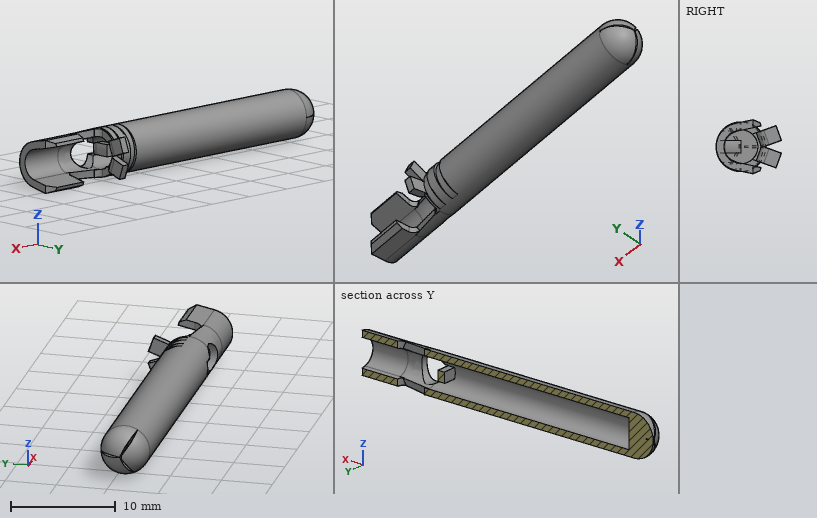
import cadquery as cq
import math

LENGTH = 35.95
RADIUS = 2.37
WALL = 0.75
BORE_RADIUS = RADIUS - WALL
FAR = 4 * RADIUS

SLIT_COUNT = 3
SLIT_WIDTH = 0.2
SLIT_DEPTH = 2.3
BORE_START = SLIT_DEPTH + WALL

GROOVE_WIDTH = 0.75
GROOVE_DEPTH = 0.25
FIRST_GROOVE_X = 25.0
SECOND_GROOVE_X = 26.75

TAB_X = SECOND_GROOVE_X + GROOVE_WIDTH
TAB_WIDTH = 1.5
TAB_TILT = 20.0
TAB_BEND_RADIUS = 2.6
TAB_TIP_RADIUS = 3.85

TUBE_END = 27.7
HOLE_X = 28.35
HOLE_RADIUS = 1.5
TONGUE_X = 25.77
TONGUE_WIDTH = 1.2

BARREL_X = 31.6
BARREL_RADIUS = 2.25
FLARE = math.radians(12.0)
EAR_BEVEL_Y = 1.15
EAR_TIP_Y = 1.95
EAR_TIP_OUTER_Z = 2.3
EAR_TIP_SLANT = 0.1
EAR_CORNER = EAR_TIP_Y - EAR_BEVEL_Y
NECK_FILLET = 0.55
EAR_FILLET = 0.75

BARREL_Y = BARREL_RADIUS - RADIUS
BARREL_INNER = BARREL_RADIUS - WALL
FLARE_Y = BARREL_Y - BARREL_RADIUS * math.sin(FLARE)


def section(x):
    """Workplane across the pin: local axes are Y and Z, extrusion goes along +X."""
    return cq.Workplane("YZ", origin=(x, 0, 0))


def block(x0, x1, y0, y1, z0, z1):
    return cq.Workplane("XY").box(x1 - x0, y1 - y0, z1 - z0, centered=False).translate((x0, y0, z0))


def tab_tilted(shape, side):
    """Turns a shape standing along +Y to the tab direction on the +Z (1) or -Z (-1) side."""
    return shape.rotate((0, 0, 0), (1, 0, 0), side * TAB_TILT)


def tab(side):
    """A quarter-round bend carrying a flat tab, kept on its own side of Z = 0."""
    bend_middle = WALL * math.sqrt(0.5)
    shape = (
        cq.Workplane("XY", origin=(0, 0, -TAB_WIDTH / 2))
        .moveTo(TAB_X, TAB_BEND_RADIUS - WALL)
        .threePointArc(
            (TAB_X + bend_middle, TAB_BEND_RADIUS - bend_middle),
            (TAB_X + WALL, TAB_BEND_RADIUS),
        )
        .lineTo(TAB_X + WALL, TAB_TIP_RADIUS)
        .lineTo(TAB_X, TAB_TIP_RADIUS)
        .close()
        .extrude(TAB_WIDTH)
    )
    bottom, top = (0, FAR) if side > 0 else (-FAR, 0)
    return tab_tilted(shape, side).intersect(block(0, LENGTH, -FAR, FAR, bottom, top))


def tab_notch():
    """Opening in the tube end where the two tabs sit, cleared between them too."""
    notch = block(TAB_X, LENGTH, BORE_RADIUS / 2, FAR, -TAB_WIDTH / 2, TAB_WIDTH / 2)
    return notch.union(tab_tilted(notch, 1)).union(tab_tilted(notch, -1))


def rounded_rod():
    return (
        cq.Workplane("XY")
        .moveTo(0, 0)
        .threePointArc(
            (RADIUS * (1 - math.sqrt(0.5)), RADIUS * math.sqrt(0.5)),
            (RADIUS, RADIUS),
        )
        .lineTo(TUBE_END, RADIUS)
        .lineTo(TUBE_END, 0)
        .close()
        .revolve(360, (0, 0, 0), (1, 0, 0))
    )


def tip_slit(angle):
    """Lens-shaped slit from the tip centre to the rim."""
    return (
        section(0)
        .moveTo(0, 0)
        .threePointArc((RADIUS / 2, SLIT_WIDTH / 2), (RADIUS, 0))
        .threePointArc((RADIUS / 2, -SLIT_WIDTH / 2), (0, 0))
        .close()
        .extrude(SLIT_DEPTH)
        .rotate((0, 0, 0), (1, 0, 0), angle)
    )


def half_groove(x):
    ring = section(x).circle(RADIUS + WALL).ellipse(RADIUS - GROOVE_DEPTH, RADIUS).extrude(GROOVE_WIDTH)
    return ring.intersect(block(0, LENGTH, 0, FAR, -FAR, FAR))


def tube():
    body = rounded_rod()
    for number in range(SLIT_COUNT):
        body = body.cut(tip_slit(number * 360 / SLIT_COUNT))
    body = body.cut(section(BORE_START).circle(BORE_RADIUS).extrude(LENGTH))
    for x in (FIRST_GROOVE_X, SECOND_GROOVE_X):
        body = body.cut(half_groove(x))
    return body.cut(tab_notch())


def trough(x, centre_y, outer, inner, end_angle):
    """Wire of a trough section whose ends lie end_angle below the level of its centre."""

    def point(radius, side):
        return (centre_y - radius * math.sin(end_angle), side * radius * math.cos(end_angle))

    return (
        section(x)
        .moveTo(*point(outer, 1))
        .threePointArc((centre_y - outer, 0), point(outer, -1))
        .lineTo(*point(inner, -1))
        .threePointArc((centre_y - inner, 0), point(inner, 1))
        .close()
        .wire()
        .val()
    )


def neck():
    start = trough(TUBE_END, 0, RADIUS, BORE_RADIUS, 0)
    end = trough(BARREL_X, BARREL_Y, BARREL_RADIUS, BARREL_INNER, FLARE)
    return cq.Workplane(cq.Solid.makeLoft([start, end], True))


def neck_fillet():
    """Rounded corner between the tube end and the neck lips."""
    ring = section(TUBE_END).circle(RADIUS).circle(BORE_RADIUS).extrude(NECK_FILLET)
    foot_y = -NECK_FILLET / 4
    strip = block(TUBE_END, LENGTH, foot_y, NECK_FILLET, -FAR, FAR)
    round_cut = (
        cq.Workplane("XY")
        .center(TUBE_END + NECK_FILLET, NECK_FILLET)
        .circle(NECK_FILLET)
        .extrude(FAR, both=True)
    )
    return ring.intersect(strip).cut(round_cut)


def ear(x, side):
    """One flared ear with a bevelled tip, from x to the crimp end."""
    lean = math.tan(FLARE)
    outer_foot_z = BARREL_RADIUS * math.cos(FLARE)
    bevel_z = outer_foot_z + (EAR_BEVEL_Y - FLARE_Y) * lean
    inner_foot_y = BARREL_Y - BARREL_INNER * math.sin(FLARE)
    inner_foot_z = BARREL_INNER * math.cos(FLARE)
    tip_inner_z = inner_foot_z + (EAR_TIP_Y - inner_foot_y) * lean
    outline = [
        (FLARE_Y, outer_foot_z),
        (EAR_BEVEL_Y, bevel_z),
        (EAR_TIP_Y - EAR_TIP_SLANT, EAR_TIP_OUTER_Z),
        (EAR_TIP_Y, tip_inner_z),
        (inner_foot_y, inner_foot_z),
    ]
    points = [(y, side * z) for y, z in outline]
    return section(x).polyline(points).close().extrude(LENGTH - x)


def ear_trim():
    """Material removed from the ears: the rounded neck side and the crimp-end corner."""
    start = BARREL_X - EAR_FILLET
    lip_y = FLARE_Y * (start - TUBE_END) / (BARREL_X - TUBE_END)
    fillet_y = lip_y + EAR_FILLET
    round_cut = cq.Workplane("XY").center(start, fillet_y).circle(EAR_FILLET).extrude(FAR, both=True)
    corner = (
        cq.Workplane("XY")
        .polyline([(LENGTH, EAR_BEVEL_Y), (LENGTH, EAR_TIP_Y), (LENGTH - EAR_CORNER, EAR_TIP_Y)])
        .close()
        .extrude(FAR, both=True)
    )
    return round_cut.union(block(start, BARREL_X, fillet_y, FAR, -FAR, FAR)).union(corner)


def barrel():
    floor_wire = trough(BARREL_X, BARREL_Y, BARREL_RADIUS, BARREL_INNER, FLARE)
    body = section(BARREL_X).add(floor_wire).toPending().extrude(LENGTH - BARREL_X)
    trim = ear_trim()
    for side in (1, -1):
        body = body.union(ear(BARREL_X - EAR_FILLET, side).cut(trim))
    return body


def inspection_opening():
    """Round hole through the -Y wall with a slot running back to the tongue."""
    hole = cq.Workplane("XZ").center(HOLE_X, 0).circle(HOLE_RADIUS).extrude(FAR)
    slot = block(TONGUE_X, HOLE_X, -FAR, 0, -TONGUE_WIDTH / 2, TONGUE_WIDTH / 2)
    return hole.union(slot)


def tongue():
    """Strip of the curved -Y wall bent inward through 90 degrees, then straight to the pin axis."""
    half = TONGUE_WIDTH / 2
    outer_y = -math.sqrt(RADIUS**2 - half**2)
    inner_y = -math.sqrt(BORE_RADIUS**2 - half**2)
    wall_strip = (
        section(TONGUE_X)
        .moveTo(outer_y, -half)
        .threePointArc((-RADIUS, 0), (outer_y, half))
        .lineTo(inner_y, half)
        .lineTo(inner_y, -half)
        .close()
    )
    bend = wall_strip.revolve(90, (inner_y, 0, 0), (inner_y, 1, 0))
    face_x = TONGUE_X + inner_y - outer_y
    apex_x = TONGUE_X + inner_y + RADIUS
    straight = (
        cq.Workplane("XZ", origin=(0, inner_y, 0))
        .moveTo(TONGUE_X, -half)
        .lineTo(face_x, -half)
        .threePointArc((apex_x, 0), (face_x, half))
        .lineTo(TONGUE_X, half)
        .close()
        .extrude(inner_y)
    )
    return bend.union(straight)


def contact():
    body = tube().union(neck()).union(neck_fillet()).union(barrel())
    return body.cut(inspection_opening()).union(tongue())


pin_contact = contact()
tabs = [tab(side) for side in (1, -1)]

result = cq.Compound.makeCompound([pin_contact.val(), *[piece.val() for piece in tabs]])